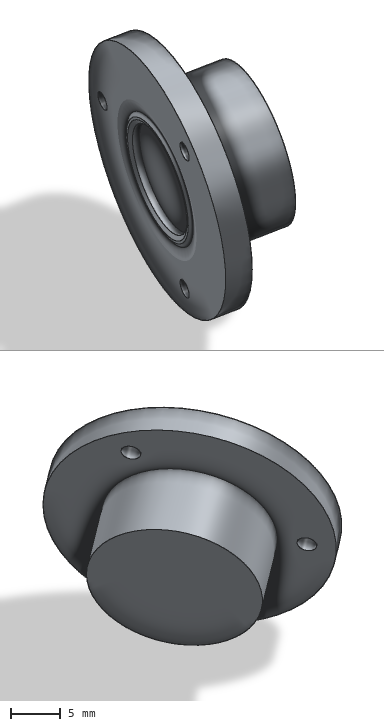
import cadquery as cq
import math

full_turn = 360.0

flange_diameter = 30.0
flange_thickness = 3.0
boss_diameter = 18.0
overall_length = 11.0

groove_outer_radius = 8.65
groove_bottom_radius = 7.3
groove_depth = 0.3

lip_outer_radius = 6.8
lip_inner_radius = 6.5

recess_diameter = 12.0
recess_depth = 1.1
entry_depth = 0.3

hole_diameter = 2.0
hole_circle_radius = 12.0
hole_count = 3
first_hole_angle = 60.0


def make_body():
    """Revolve the half section (radius, Y) about the Y axis."""
    flange_radius = flange_diameter / 2
    boss_radius = boss_diameter / 2
    recess_radius = recess_diameter / 2
    half_section = [
        (0, recess_depth),
        (recess_radius, recess_depth),
        (recess_radius, entry_depth),
        (lip_inner_radius, 0),
        (lip_outer_radius, 0),
        (groove_bottom_radius, groove_depth),
        (groove_outer_radius, 0),
        (flange_radius, 0),
        (flange_radius, flange_thickness),
        (boss_radius, flange_thickness),
        (boss_radius, overall_length),
        (0, overall_length),
    ]
    return cq.Workplane("XY").polyline(half_section).close().revolve(full_turn, (0, 0), (0, 1))


def make_screw_hole(angle):
    """Cutter for one flange hole, at an angle from +X towards +Z."""
    x = hole_circle_radius * math.cos(math.radians(angle))
    z = hole_circle_radius * math.sin(math.radians(angle))
    return cq.Workplane("XZ").center(x, z).circle(hole_diameter / 2).extrude(-flange_thickness)


result = make_body()
for index in range(hole_count):
    result = result.cut(make_screw_hole(first_hole_angle + index * full_turn / hole_count))